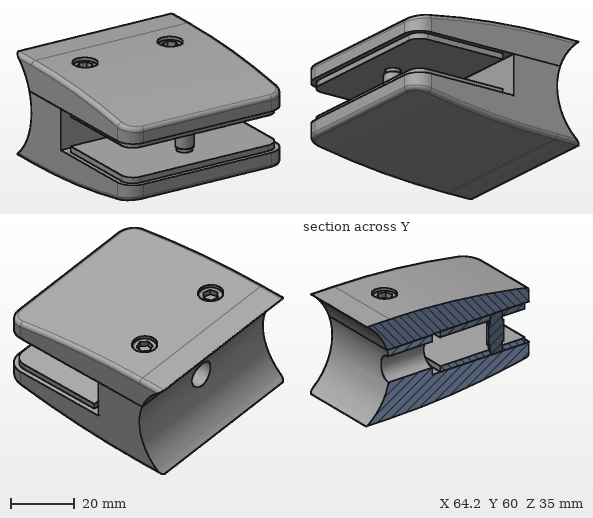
import cadquery as cq
import math

length = 64.2
width = 60.0
height = 35.0
half_height = height / 2

saddle_radius = 21.2
saddle_centre_x = -math.sqrt(saddle_radius**2 - half_height**2)
saddle_depth = saddle_centre_x + saddle_radius

crown_radius = 283.25
corner_radius = 6.0
edge_fillet = 1.5

mouth_height = 14.0
mouth_start = 26.1
split_z = mouth_height / 2

tube_hole_diameter = 9.0

pad_thickness = 2.0
pad_inset = 1.7
pad_start = 29.15
pad_end = length - pad_inset
pad_width = width - 2 * pad_inset
pad_corner_radius = corner_radius - pad_inset

pin_x = 51.25
pin_diameter = 6.0
pin_body_height = 7.4
pin_neck_diameter = 5.1

screw_x = 19.15
screw_spacing = 32.0
screw_middle_y = -0.25
screw_head_diameter = 8.0
screw_head_height = 5.0
screw_head_top = 16.45
screw_head_bottom = screw_head_top - screw_head_height
screw_head_fillet = 0.5
screw_shank_diameter = 5.0
screw_shank_length = 20.05
screw_tip = screw_head_bottom - screw_shank_length
hex_corner_diameter = 5.15
hex_depth = 1.85
hex_turn = 15.0
screw_sides = (-1, 1)


def screw_y(side):
    """Place of a screw across the width; side is -1 or 1 along Y."""
    return screw_middle_y + side * screw_spacing / 2


def cylinder_z(x, y, z, diameter, cylinder_height):
    """Upright cylinder whose bottom face is centred on (x, y, z)."""
    return cq.Workplane("XY", origin=(x, y, z)).circle(diameter / 2).extrude(cylinder_height)


def crown_height(x):
    """Height of the curved upper face above the mid plane."""
    run = x - saddle_depth
    return half_height - crown_radius + math.sqrt(crown_radius**2 - run**2)


def make_clamp_blank():
    """Full outer shape of the clamp, before it is parted into lid and base."""
    arc_middle = (saddle_depth + length) / 2
    blank = (
        cq.Workplane("XZ")
        .moveTo(0, -half_height)
        .lineTo(saddle_depth, -half_height)
        .threePointArc((arc_middle, -crown_height(arc_middle)), (length, -crown_height(length)))
        .lineTo(length, crown_height(length))
        .threePointArc((arc_middle, crown_height(arc_middle)), (saddle_depth, half_height))
        .lineTo(0, half_height)
        .close()
        .extrude(width / 2, both=True)
    )
    blank = blank.edges("|Z and >X").fillet(corner_radius)
    blank = blank.faces("<Y").edges("not |Z").fillet(edge_fillet)

    saddle = (
        cq.Workplane("XZ")
        .center(saddle_centre_x, 0)
        .circle(saddle_radius)
        .extrude(width, both=True)
    )
    mouth = (
        cq.Workplane("XY")
        .box(length, 2 * width, mouth_height)
        .translate((mouth_start + length / 2, 0, 0))
    )
    tube_hole = cq.Workplane("YZ").circle(tube_hole_diameter / 2).extrude(length)
    return blank.cut(saddle).cut(mouth).cut(tube_hole)


def make_screw(side):
    """Cap screw with a rounded head and a hexagon socket; side is -1 or 1 along Y."""
    y = screw_y(side)
    head = cylinder_z(screw_x, y, screw_head_bottom, screw_head_diameter, screw_head_height)
    head = head.faces(">Z").edges().fillet(screw_head_fillet)
    shank = cylinder_z(screw_x, y, screw_tip, screw_shank_diameter, screw_shank_length)
    socket = (
        cq.Workplane("XY")
        .polygon(6, hex_corner_diameter)
        .extrude(hex_depth)
        .rotate((0, 0, 0), (0, 0, 1), -side * hex_turn)
        .translate((screw_x, y, screw_head_top - hex_depth))
    )
    return head.union(shank).cut(socket)


def cut_screw_holes(body):
    """Counterbored holes that fit the screws, open at the top."""
    for side in screw_sides:
        y = screw_y(side)
        body = body.cut(cylinder_z(screw_x, y, screw_head_bottom, screw_head_diameter, half_height))
        body = body.cut(cylinder_z(screw_x, y, screw_tip, screw_shank_diameter, screw_shank_length))
    return body


def make_pad(bottom_z):
    """Flat gasket with two rounded corners at the mouth and a hole for the pin neck."""
    return (
        cq.Workplane("XY", origin=(0, 0, bottom_z))
        .center((pad_start + pad_end) / 2, 0)
        .rect(pad_end - pad_start, pad_width)
        .extrude(pad_thickness)
        .edges("|Z and >X")
        .fillet(pad_corner_radius)
        .cut(cylinder_z(pin_x, 0, bottom_z, pin_neck_diameter, pad_thickness))
    )


def make_pin():
    """Shouldered pin spanning the mouth."""
    neck = cylinder_z(pin_x, 0, -split_z, pin_neck_diameter, mouth_height)
    return neck.union(cylinder_z(pin_x, 0, -pin_body_height / 2, pin_diameter, pin_body_height))


clamp = cut_screw_holes(make_clamp_blank())
upper_half_space = (
    cq.Workplane("XY", origin=(0, 0, split_z)).rect(4 * length, 4 * length).extrude(height)
)
lid = clamp.intersect(upper_half_space)
base = clamp.cut(upper_half_space)
screws = [make_screw(side) for side in screw_sides]
pads = [make_pad(bottom_z) for bottom_z in (-split_z, split_z - pad_thickness)]
pin = make_pin()

result = cq.Compound.makeCompound(
    [base.val(), lid.val(), pin.val()] + [pad.val() for pad in pads] + [screw.val() for screw in screws]
)